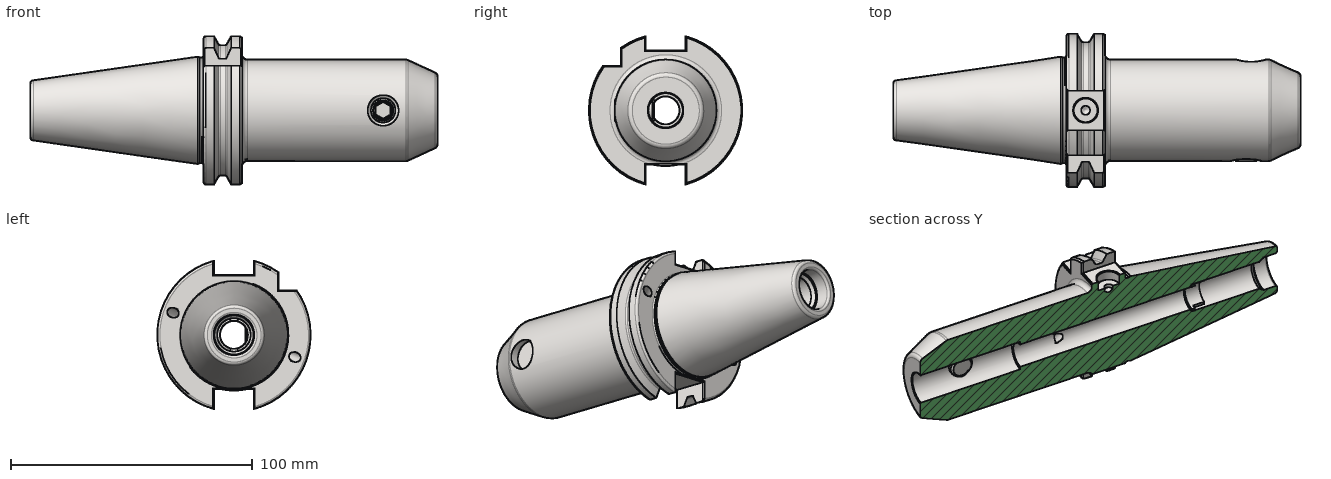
import cadquery as cq
import math


taper_small_radius = 12.3
taper_large_radius = 22.2
taper_length = 69.2
taper_tip_fillet = 1.3

undercut_radius = 21.9
undercut_start = 70.0
undercut_fillet = 0.7

flange_diameter = 63.5
flange_radius = flange_diameter / 2
flange_start = 71.5
flange_length = 16.0
flange_end = flange_start + flange_length
flange_fillet = 1.0
flange_chamfer_length = 1.0
flange_chamfer_drop = 0.5
groove_center = 79.5
groove_width = 7.0
groove_depth = 3.5
groove_half_angle = 30
groove_fillet = 0.8
groove_floor_radius = flange_radius - groove_depth
groove_half_width = groove_width / 2
groove_floor_half_width = groove_half_width - groove_depth * math.tan(math.radians(groove_half_angle))

body_radius = 21.0
body_fillet = 2.0
holder_length = 168.4
nose_start = 155.6
nose_radius = 15.2
nose_shoulder_fillet = 2.0
nose_tip_fillet = 2.0

counterbore_radius = 8.5
counterbore_depth = 6.5
counterbore_fillet = 1.0
thread_radius = 6.9
lead_in_radius = 8.0
lead_in_start = 6.7
lead_in_end = 7.0
thread_start = 8.6
thread_end = 40.5
waist_radius = 5.7
waist_lead_in = 0.7
waist_start = thread_end + waist_lead_in
tool_bore_radius = 7.0
tool_bore_depth = 47.2
tool_bore_chamfer = 0.3

drive_slot_width = 16.3
top_slot_floor = 25.0
bottom_slot_floor = 22.5
notch_y = 18.5
notch_z = 18.5
rim_cut_bevel = 0.5

chip_radius = 4.9
chip_depth = 4.5
chip_chamfer = 0.3
pilot_radius = 1.9
pilot_depth = 1.7
drill_tip_angle = 118

coolant_radius = 2.0
coolant_circle_radius = 26.8
coolant_angle = 20
coolant_tilt = 35
coolant_length = 37.0

screw_x = 145.8
screw_radius = 5.0
screw_outer_y = -21.0
screw_inner_y = -4.7
screw_outer_chamfer = 0.8
screw_tip_chamfer = 0.8
screw_hole_chamfer = 1.3
hex_across_flats = 6.0
hex_depth = 4.0
hex_mouth_chamfer = 0.7
balance_x = 147.9
balance_radius = 6.2
balance_depth = 4.0

stop_length = 6.7
stop_slot_width = 3.0
stop_slot_depth = 5.0


def is_ring(edge, x, radius):
    """True for a circular edge around the X axis at the given place and radius."""
    tolerance = 0.02
    return (
        edge.geomType() == "CIRCLE"
        and abs(edge.arcCenter().x - x) < tolerance
        and abs(edge.radius() - radius) < tolerance
    )


def fillet_rings(solid, fillet, *rings):
    """Round the circular edges given as (x, radius) pairs."""
    return solid.edges().filter(lambda edge: any(is_ring(edge, *ring) for ring in rings)).fillet(fillet)


def revolve_about_x(points):
    return cq.Workplane("XZ").polyline(points).close().revolve(360, (0, 0), (1, 0))


def make_blank():
    groove_floor = [groove_center - groove_floor_half_width, groove_center + groove_floor_half_width]
    blank = revolve_about_x([
        (0, 0),
        (0, taper_small_radius),
        (taper_length, taper_large_radius),
        (undercut_start, undercut_radius),
        (flange_start, undercut_radius),
        (flange_start, flange_radius),
        (groove_center - groove_half_width, flange_radius),
        (groove_floor[0], groove_floor_radius),
        (groove_floor[1], groove_floor_radius),
        (groove_center + groove_half_width, flange_radius),
        (flange_end - flange_chamfer_length, flange_radius),
        (flange_end, flange_radius - flange_chamfer_drop),
        (flange_end, body_radius),
        (nose_start, body_radius),
        (holder_length, nose_radius),
        (holder_length, 0),
    ])
    blank = fillet_rings(blank, taper_tip_fillet, (0, taper_small_radius))
    blank = fillet_rings(blank, undercut_fillet, (flange_start, undercut_radius))
    blank = fillet_rings(blank, flange_fillet, (flange_start, flange_radius))
    blank = fillet_rings(blank, groove_fillet, *[(x, groove_floor_radius) for x in groove_floor])
    blank = fillet_rings(blank, body_fillet, (flange_end, body_radius))
    blank = fillet_rings(blank, nose_shoulder_fillet, (nose_start, body_radius))
    return fillet_rings(blank, nose_tip_fillet, (holder_length, nose_radius))


def cut_axial_bores(holder):
    tool_bore_end = holder_length - tool_bore_depth
    bores = revolve_about_x([
        (0, 0),
        (0, counterbore_radius),
        (counterbore_depth, counterbore_radius),
        (lead_in_start, lead_in_radius),
        (lead_in_end, lead_in_radius),
        (thread_start, thread_radius),
        (thread_end, thread_radius),
        (waist_start, waist_radius),
        (tool_bore_end, waist_radius),
        (tool_bore_end, tool_bore_radius),
        (holder_length - tool_bore_chamfer, tool_bore_radius),
        (holder_length, tool_bore_radius + tool_bore_chamfer),
        (holder_length, 0),
    ])
    return fillet_rings(holder.cut(bores), counterbore_fillet, (0, counterbore_radius))


def rim_cut(y_min, y_max, z_min, z_max):
    """Block as long as the flange, flared at both ends to bevel the edges that it leaves."""
    width = y_max - y_min
    height = z_max - z_min
    middle = ((y_min + y_max) / 2, (z_min + z_max) / 2)
    block = (
        cq.Workplane("YZ", origin=(flange_start, 0, 0))
        .center(*middle)
        .rect(width, height)
        .extrude(flange_length)
    )
    for x, direction in ((flange_start, 1), (flange_end, -1)):
        flare = (
            cq.Workplane("YZ", origin=(x, 0, 0))
            .center(*middle)
            .rect(width + 2 * rim_cut_bevel, height + 2 * rim_cut_bevel)
            .extrude(direction * rim_cut_bevel, taper=45)
        )
        block = block.union(flare)
    return block


def cut_flange_rim(holder):
    half_width = drive_slot_width / 2
    holder = holder.cut(rim_cut(-half_width, half_width, top_slot_floor, flange_radius))
    holder = holder.cut(rim_cut(-half_width, half_width, -flange_radius, -bottom_slot_floor))
    return holder.cut(rim_cut(-flange_radius, -notch_y, notch_z, flange_radius))


def cut_chip_pocket(holder):
    pocket_floor = top_slot_floor - chip_depth
    pilot_floor = pocket_floor - pilot_depth
    tip_length = pilot_radius / math.tan(math.radians(drill_tip_angle / 2))
    pocket = (
        cq.Workplane("XZ")
        .moveTo(0, top_slot_floor)
        .lineTo(chip_radius + chip_chamfer, top_slot_floor)
        .lineTo(chip_radius, top_slot_floor - chip_chamfer)
        .lineTo(chip_radius, pocket_floor)
        .lineTo(pilot_radius, pocket_floor)
        .lineTo(pilot_radius, pilot_floor)
        .lineTo(0, pilot_floor - tip_length)
        .close()
        .revolve(360, (0, 0), (0, 1))
        .translate((groove_center, 0, 0))
    )
    return holder.cut(pocket)


def cut_coolant_holes(holder):
    """Two opposite holes that lean towards the axis as they run in from the flange face."""
    tilt = math.radians(coolant_tilt)
    direction = cq.Vector(math.cos(tilt), -math.sin(tilt), 0)
    mouth = cq.Vector(flange_start, coolant_circle_radius, 0)
    overrun = 2 * coolant_radius
    drill = cq.Solid.makeCylinder(
        coolant_radius, coolant_length + overrun, mouth - direction * overrun, direction
    )
    for angle in (coolant_angle, coolant_angle + 180):
        holder = holder.cut(cq.Workplane(drill.rotate(cq.Vector(0, 0, 0), cq.Vector(1, 0, 0), angle)))
    return holder


def cut_screw_hole(holder):
    hole = cq.Workplane("XZ").center(screw_x, 0).circle(screw_radius).extrude(body_radius)
    holder = holder.cut(hole)
    mouth = cq.selectors.NearestToPointSelector((screw_x, -body_radius, 0))
    return holder.edges(mouth).chamfer(screw_hole_chamfer)


def cut_balance_hole(holder):
    hole = (
        cq.Workplane("XZ", origin=(balance_x, body_radius, 0)).circle(balance_radius).extrude(balance_depth)
    )
    return holder.cut(hole)


def make_holder():
    holder = cut_axial_bores(make_blank())
    holder = cut_flange_rim(holder)
    holder = cut_chip_pocket(holder)
    holder = cut_coolant_holes(holder)
    holder = cut_screw_hole(holder)
    return cut_balance_hole(holder)


def make_clamping_screw():
    """Set screw along Y, with its hex socket facing -Y."""
    outer_end = cq.Workplane("XZ", origin=(screw_x, screw_outer_y, 0))
    screw = outer_end.circle(screw_radius).extrude(screw_outer_y - screw_inner_y)
    screw = screw.faces("<Y").chamfer(screw_outer_chamfer).faces(">Y").chamfer(screw_tip_chamfer)
    hex_corner_radius = hex_across_flats / math.sqrt(3)
    socket = (
        outer_end.transformed(rotate=(0, 0, 30)).polygon(6, 2 * hex_corner_radius).extrude(-hex_depth)
    )
    mouth_radius = hex_corner_radius + hex_mouth_chamfer / 2
    mouth = cq.Workplane(cq.Solid.makeCone(
        mouth_radius,
        mouth_radius - hex_mouth_chamfer,
        hex_mouth_chamfer,
        cq.Vector(screw_x, screw_outer_y, 0),
        cq.Vector(0, 1, 0),
    ))
    return screw.cut(socket).cut(mouth)


def make_stop_ring():
    """Hollow stop screw at the end of the thread, slotted across for a driver."""
    ring = (
        cq.Workplane("YZ", origin=(thread_end - stop_length, 0, 0))
        .circle(thread_radius)
        .circle(waist_radius)
        .extrude(stop_length)
    )
    slot = cq.Workplane("XY").box(2 * stop_slot_depth, stop_slot_width, 2 * thread_radius)
    slot = slot.translate((thread_end - stop_length, 0, 0))
    return ring.cut(slot)


holder = make_holder()
clamping_screw = make_clamping_screw()
stop_ring = make_stop_ring()

result = cq.Compound.makeCompound([holder.val(), clamping_screw.val(), stop_ring.val()])